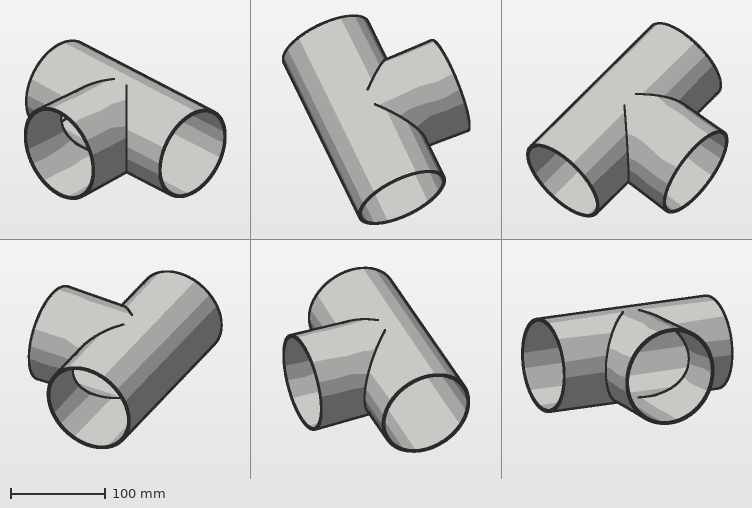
import cadquery as cq

run_length = 200.0
run_outer_radius = 50.0
wall = 2.0
run_inner_radius = run_outer_radius - wall

branch_reach = 100.0
mouth_outer_radius = 52.0
mouth_inner_radius = mouth_outer_radius - wall


def run_cylinder(radius):
    """Solid cylinder spanning the full length of the run."""
    return cq.Workplane("YZ").circle(radius).extrude(run_length / 2, both=True)


def branch_cone(axis_radius, mouth_radius):
    """Solid truncated cone from the run axis out to the branch mouth."""
    cone = cq.Solid.makeCone(
        axis_radius,
        mouth_radius,
        branch_reach,
        pnt=cq.Vector(0, 0, 0),
        dir=cq.Vector(0, -1, 0),
    )
    return cq.Workplane(obj=cone)


def tee_body(run_radius, mouth_radius):
    """Solid tee: the run joined to a branch that starts at the run radius."""
    return run_cylinder(run_radius).union(branch_cone(run_radius, mouth_radius))


outer_body = tee_body(run_outer_radius, mouth_outer_radius)

result = (
    outer_body
    .cut(run_cylinder(run_inner_radius))
    .cut(branch_cone(run_inner_radius, mouth_inner_radius))
)